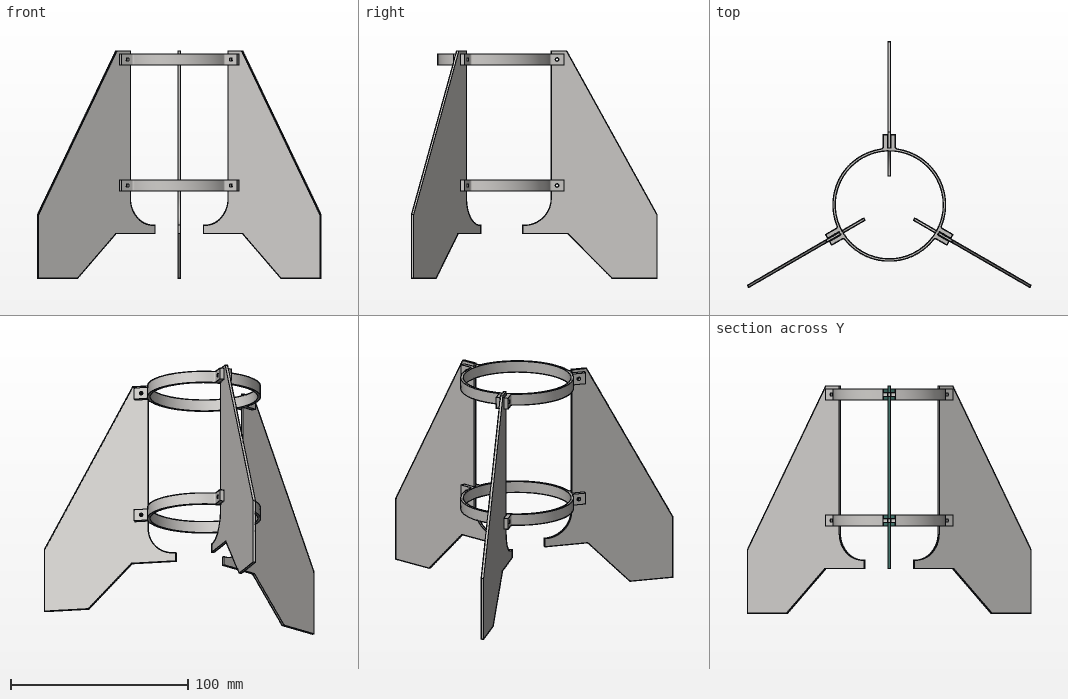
import cadquery as cq
import math

span_x = 160.3
fin_count = 3
fin_step = 360.0 / fin_count
first_fin_angle = 90.0

fin_thickness = 1.47
fin_height = 128.4
fin_root_radius = 32.2
fin_top_radius = 41.0
fin_shoulder_height = 35.9
fin_foot_radius = 66.7
web_height = 25.2
web_corner_radius = 41.7
web_tip_radius = 16.2
root_arc_radius = 15.0
root_arc_height = 45.0
fin_tilt = math.radians(fin_step - first_fin_angle)
fin_outer_radius = (span_x / 2 - fin_thickness / 2 * math.sin(fin_tilt)) / math.cos(fin_tilt)

ring_bore = 60.9
ring_wall = 1.5
ring_height = 6.4
ring_outer_radius = ring_bore / 2 + ring_wall
clamp_outer_radius = 39.6
clamp_width = 6.9
slot_width = 2.0
clamp_fillet = 1.1
ring_spacing = 71.2
upper_ring_base = 120.4
ring_bases = [upper_ring_base - ring_spacing, upper_ring_base]

pin_radius = 35.5
clamp_hole_diameter = 2.0
fin_hole_diameter = 1.8


def make_pin_hole(diameter, height):
    """Cylinder along Y that crosses a fin lying along +X."""
    return (
        cq.Workplane("XZ", origin=(pin_radius, 0, height))
        .circle(diameter / 2)
        .extrude(clamp_width, both=True)
    )


def make_fin(angle):
    """Flat fin with a concave arc at its root and a pin hole at each ring."""
    arc_centre_radius = fin_root_radius - root_arc_radius
    tip_offset = arc_centre_radius - web_tip_radius
    tip_top = root_arc_height - math.sqrt(root_arc_radius**2 - tip_offset**2)
    arc_middle = math.radians(-45)
    fin = (
        cq.Workplane("XZ")
        .moveTo(fin_root_radius, fin_height)
        .lineTo(fin_top_radius, fin_height)
        .lineTo(fin_outer_radius, fin_shoulder_height)
        .lineTo(fin_outer_radius, 0)
        .lineTo(fin_foot_radius, 0)
        .lineTo(web_corner_radius, web_height)
        .lineTo(web_tip_radius, web_height)
        .lineTo(web_tip_radius, tip_top)
        .threePointArc(
            (
                arc_centre_radius + root_arc_radius * math.cos(arc_middle),
                root_arc_height + root_arc_radius * math.sin(arc_middle),
            ),
            (fin_root_radius, root_arc_height),
        )
        .close()
        .extrude(fin_thickness / 2, both=True)
    )
    for base in ring_bases:
        fin = fin.cut(make_pin_hole(fin_hole_diameter, base + ring_height / 2))
    return fin.rotate((0, 0, 0), (0, 0, 1), angle)


def make_radial_block(inner_radius, outer_radius, width, base):
    """Block of ring height along +X between two radii."""
    return cq.Workplane("XY", origin=(inner_radius, 0, base)).box(
        outer_radius - inner_radius, width, ring_height, centered=(False, True, False)
    )


def fillet_clamp_roots(ring, base, fin_angles):
    """Round the vertical corners where both sides of each clamp meet the outside of the ring."""
    root_offset = math.degrees(math.asin(clamp_width / 2 / ring_outer_radius))
    corners = ring.newObject([])
    for angle in fin_angles:
        for side in (-1, 1):
            corner_angle = math.radians(angle + side * root_offset)
            x = ring_outer_radius * math.cos(corner_angle)
            y = ring_outer_radius * math.sin(corner_angle)
            nearest = cq.NearestToPointSelector((x, y, base + ring_height / 2))
            corners = corners.add(ring.edges("|Z").edges(nearest))
    return corners.fillet(clamp_fillet)


def make_ring(base, fin_angles):
    """Thin ring with a slotted, drilled clamp for each fin."""
    ring = cq.Workplane("XY", origin=(0, 0, base)).circle(ring_outer_radius).extrude(ring_height)
    clamp = (
        make_radial_block(0, clamp_outer_radius, clamp_width, base)
        .cut(make_radial_block(fin_root_radius, clamp_outer_radius, slot_width, base))
        .cut(make_pin_hole(clamp_hole_diameter, base + ring_height / 2))
    )
    for angle in fin_angles:
        ring = ring.union(clamp.rotate((0, 0, 0), (0, 0, 1), angle))
    ring = fillet_clamp_roots(ring, base, fin_angles)
    bore = cq.Workplane("XY", origin=(0, 0, base)).circle(ring_bore / 2).extrude(ring_height)
    return ring.cut(bore)


fin_angles = [first_fin_angle + i * fin_step for i in range(fin_count)]
fins = [make_fin(angle) for angle in fin_angles]
rings = [make_ring(base, fin_angles) for base in ring_bases]

result = cq.Compound.makeCompound([body.val() for body in fins + rings])